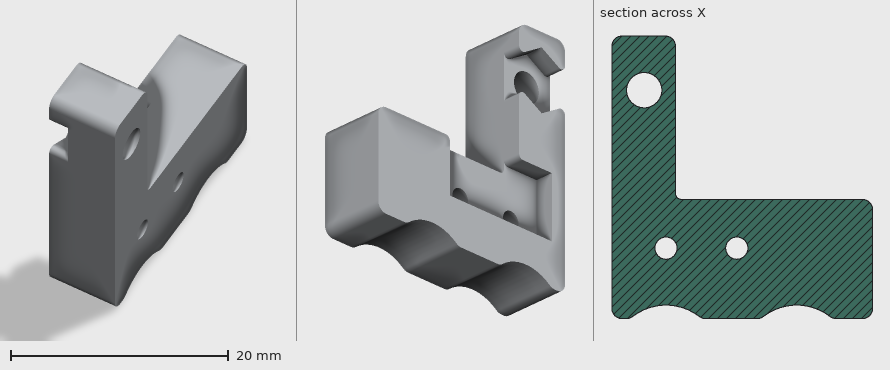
import cadquery as cq
import math

thickness = 7.0
foot_length = 24.0
foot_height = 11.0
column_width = 5.9
column_height = 26.0
outer_radius = 1.0
small_radius = 0.5

arch_radius = 5.0
arch_rise = 1.25
arch_centers_y = (5.0, 17.0)

recess_depth = 2.0
pocket_y_min = 1.7
pocket_y_max = 14.8
pocket_z_min = 4.85
pocket_z_max = 11.9

mount_hole_diameter = 2.0
mount_holes_y = (5.0, 11.5)
mount_hole_z = 6.5

bolt_hole_diameter = 3.2
bolt_y = 3.0
bolt_z = 21.0
nut_corner_diameter = 6.8
nut_peak = nut_corner_diameter / 2
slot_slope = math.tan(math.radians(30))
outer_mouth_rise = nut_peak - bolt_y * slot_slope
inner_mouth_rise = nut_peak - (column_width - bolt_y) * slot_slope


def cylinder_along_x(diameter, y, z):
    return cq.Workplane("YZ").center(y, z).circle(diameter / 2).extrude(thickness)


def round_edge_at(body, x, y, z, radius):
    """Round the X-parallel edge whose midpoint is nearest the given point."""
    return body.edges("|X").edges(cq.selectors.NearestToPointSelector((x, y, z))).fillet(radius)


def make_bracket():
    """L-shaped bracket with rounded corners and arched underside."""
    body = (
        cq.Workplane("YZ")
        .moveTo(0, 0)
        .lineTo(foot_length, 0)
        .lineTo(foot_length, foot_height)
        .lineTo(column_width, foot_height)
        .lineTo(column_width, column_height)
        .lineTo(0, column_height)
        .close()
        .extrude(thickness)
    )
    for y in arch_centers_y:
        body = body.cut(cylinder_along_x(2 * arch_radius, y, arch_rise - arch_radius))
    mid_x = thickness / 2
    body = round_edge_at(body, mid_x, column_width, foot_height, small_radius)
    body = body.edges("|X and (>Y or >Z)").fillet(outer_radius)
    return body.edges("|X and <Z").fillet(outer_radius)


def make_pocket():
    """Rectangular pocket, open at the inner corner of the L."""
    return (
        cq.Workplane("YZ")
        .moveTo(pocket_y_min, pocket_z_min)
        .lineTo(pocket_y_max, pocket_z_min)
        .lineTo(pocket_y_max, pocket_z_max)
        .lineTo(pocket_y_min, pocket_z_max)
        .close()
        .extrude(recess_depth)
    )


def make_nut_slot():
    """Slot across the column with a V in its roof and in its floor."""
    return (
        cq.Workplane("YZ")
        .moveTo(0, bolt_z - outer_mouth_rise)
        .lineTo(bolt_y, bolt_z - nut_peak)
        .lineTo(column_width, bolt_z - inner_mouth_rise)
        .lineTo(column_width, bolt_z + inner_mouth_rise)
        .lineTo(bolt_y, bolt_z + nut_peak)
        .lineTo(0, bolt_z + outer_mouth_rise)
        .close()
        .extrude(recess_depth)
    )


def round_recess_mouths(body):
    """Round the edges where the recesses open through the outline."""
    mid_x = recess_depth / 2
    mouths = [(pocket_y_max, foot_height), (column_width, pocket_z_max)]
    for y, rise in ((0, outer_mouth_rise), (column_width, inner_mouth_rise)):
        mouths.append((y, bolt_z - rise))
        mouths.append((y, bolt_z + rise))
    for y, z in mouths:
        body = round_edge_at(body, mid_x, y, z, small_radius)
    return body


result = make_bracket().cut(make_pocket()).cut(make_nut_slot())
result = round_recess_mouths(result)
for hole_y in mount_holes_y:
    result = result.cut(cylinder_along_x(mount_hole_diameter, hole_y, mount_hole_z))
result = result.cut(cylinder_along_x(bolt_hole_diameter, bolt_y, bolt_z))